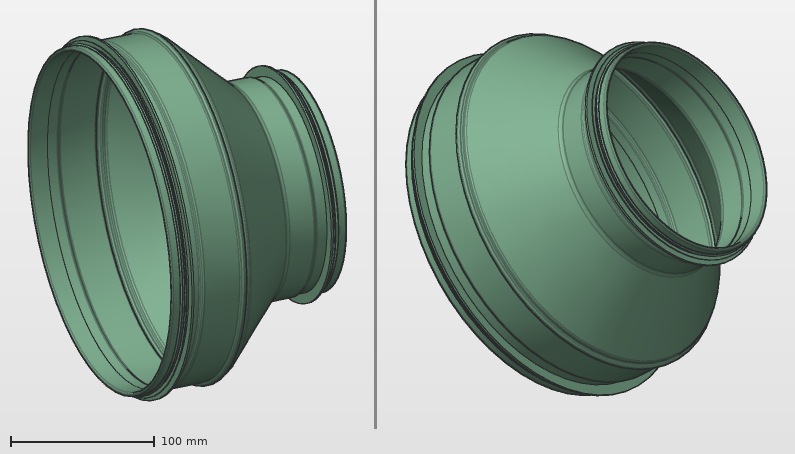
import cadquery as cq


length = 154.0
wall = 0.5
large_radius = 249 / 2
large_groove_radius = 244.0 / 2
large_hem_radius = 249 / 2
small_radius = 157.1 / 2
small_groove_radius = 154.3 / 2
small_hem_radius = 159.0 / 2

groove_length = 24.0
step_length = 1.8
step_crest_round = 2.0
step_root_round = 1.0
bead_center = 54.7
bead_width = 4.1
bead_radius = 254.5 / 2
bead_root_round = 0.8
bead_crest_round = 1.8
cone_start = 60.2
cone_end = 109.0
large_bend_round = 2.5
small_bend_round = 4.7
hem_length = 6.5
hem_round = 1.3

lip_height = 1.0
lip_length = 2.0
thin_fin_center = 10.0
thin_fin_thickness = 0.5
thick_fin_center = 13.7
thick_fin_thickness = 1.5
large_thin_fin_radius = 254.5 / 2
large_thick_fin_radius = 259.3 / 2
small_thin_fin_radius = 164.5 / 2
small_thick_fin_radius = 169.3 / 2

overrun = 2.5
core_radius = 26.0


def revolve_face(face):
    """Revolve a profile face a full turn about the Y axis."""
    return cq.Workplane(obj=cq.Solid.revolve(face, 360, cq.Vector(0, 0, 0), cq.Vector(0, 1, 0)))


def rectangle_face(inner, outer, start, end):
    """Profile rectangle between two radii and two axial places."""
    return polygon_face([(inner, start), (outer, start), (outer, end), (inner, end)])


def polygon_face(points):
    """Closed profile face through (radius, axial place) points."""
    corners = [cq.Vector(radius, place) for radius, place in points]
    return cq.Face.makeFromWires(cq.Wire.makePolygon(corners, close=True))


def round_corner(face, point, radius):
    """Round the profile corner at a (radius, axial place) point."""
    corner = cq.Vector(*point)
    nearest = min(face.Vertices(), key=lambda vertex: (vertex.Center() - corner).Length)
    return face.fillet2D(radius, [nearest])


def duct_outline():
    """Outer outline of the duct with every bend rounded, closed along the core radius."""
    bead_start = bead_center - bead_width / 2
    bead_end = bead_center + bead_width / 2
    small_step = length - groove_length
    bends = [
        (large_groove_radius, groove_length - step_length, step_root_round),
        (large_radius, groove_length, step_crest_round),
        (large_radius, bead_start, bead_root_round),
        (bead_radius, bead_start, bead_crest_round),
        (bead_radius, bead_end, bead_crest_round),
        (large_radius, bead_end, bead_root_round),
        (large_radius, cone_start, large_bend_round),
        (small_radius, cone_end, small_bend_round),
        (small_radius, small_step, step_crest_round),
        (small_groove_radius, small_step + step_length, step_root_round),
    ]
    corners = [(core_radius, -overrun), (large_groove_radius, -overrun)]
    corners += [(radius, place) for radius, place, _ in bends]
    corners += [(small_groove_radius, length + overrun), (core_radius, length + overrun)]
    face = polygon_face(corners)
    for radius, place, bend_radius in bends:
        face = round_corner(face, (radius, place), bend_radius)
    return face


def duct_sheet():
    """Thin wall of uniform thickness following the duct outline, trimmed where the hems begin."""
    outline = duct_outline()
    inside = cq.Face.makeFromWires(outline.outerWire().offset2D(-wall)[0])
    trim_inner = core_radius + 2 * wall
    trim_outer = bead_radius + overrun
    trim = rectangle_face(trim_inner, trim_outer, hem_length, length - hem_length)
    section = outline.cut(inside).intersect(trim)
    return revolve_face(section.Faces()[0])


def at_end(distance, at_small_end):
    """Axial place at a distance in from the chosen end."""
    return length - distance if at_small_end else distance


def hem(groove_radius, hem_radius, at_small_end):
    """End of the sheet, folded outwards and back over the seal base."""
    points = [
        (groove_radius - wall, 0),
        (hem_radius, 0),
        (hem_radius, hem_length),
        (hem_radius - wall, hem_length),
        (hem_radius - wall, wall),
        (groove_radius, wall),
        (groove_radius, hem_length),
        (groove_radius - wall, hem_length),
    ]
    corners = [(radius, at_end(distance, at_small_end)) for radius, distance in points]
    face = polygon_face(corners)
    for outer_bend in corners[:2]:
        face = round_corner(face, outer_bend, hem_round)
    for inner_bend in corners[4:6]:
        face = round_corner(face, inner_bend, hem_round - wall)
    return revolve_face(face)


def make_housing():
    """Reducer duct with a hem at each end, as one solid."""
    large_hem = hem(large_groove_radius, large_hem_radius, False)
    small_hem = hem(small_groove_radius, small_hem_radius, True)
    joined = duct_sheet().union(large_hem).union(small_hem)
    return joined.solids()


def make_seal(groove_radius, hem_radius, thin_fin_radius, thick_fin_radius, at_small_end):
    """Rubber ring filling the hem, with a low lip, a thin fin and a thick fin."""
    base_radius = hem_radius - wall
    thin_start = thin_fin_center - thin_fin_thickness / 2
    thin_end = thin_fin_center + thin_fin_thickness / 2
    thick_start = thick_fin_center - thick_fin_thickness / 2
    thick_end = thick_fin_center + thick_fin_thickness / 2
    points = [
        (groove_radius, wall),
        (base_radius, wall),
        (base_radius, hem_length),
        (hem_radius, hem_length),
        (hem_radius + lip_height, hem_length + lip_length / 2),
        (base_radius, hem_length + lip_length),
        (base_radius, thin_start),
        (thin_fin_radius, thin_start),
        (thin_fin_radius, thin_end),
        (base_radius, thin_end),
        (base_radius, thick_start),
        (thick_fin_radius, thick_start),
        (thick_fin_radius, thick_end),
        (groove_radius, thick_end),
    ]
    corners = [(radius, at_end(distance, at_small_end)) for radius, distance in points]
    face = polygon_face(corners)
    for buried_corner in corners[:2]:
        face = round_corner(face, buried_corner, hem_round - wall)
    return revolve_face(face)


housing = make_housing()

seal_sizes = [
    (large_groove_radius, large_hem_radius, large_thin_fin_radius, large_thick_fin_radius, False),
    (small_groove_radius, small_hem_radius, small_thin_fin_radius, small_thick_fin_radius, True),
]
seals = [make_seal(*sizes) for sizes in seal_sizes]

result = cq.Compound.makeCompound([housing.val(), *[seal.val() for seal in seals]])